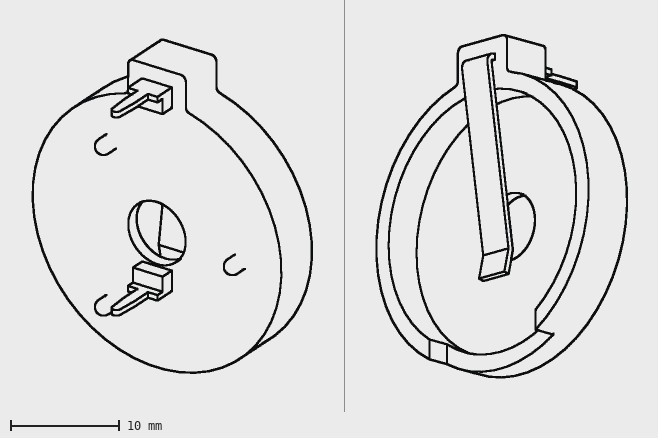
import cadquery as cq
import math


cup_radius = 13.87
cup_depth = 5.0
floor_thickness = 1.38
cell_radius = 12.25
floor_hole_radius = 3.2

notch_width = 13.87
notch_floor_y = 2.7

tab_width = 6.45
tab_top_z = 17.09
tab_corner_radius = 0.6
tab_root_radius = 0.5

peg_count = 3
peg_circle_radius = 9.57
peg_radius = 0.8
peg_length = 2.5
peg_root_radius = 0.5

strip_width = 3.3
strip_thickness = 0.57
shoulder_length = 2.33
pin_width = 1.2
pin_tip_radius = 0.45
pin_length = 7.06
pin_taper_start = 4.52
upper_strip_top_z = 15.5
lower_strip_top_z = -4.95

block_height = 1.55
block_length = 1.5

arm_overhang = 1.0
bend_outer_radius = 0.9
arm_tilt = math.radians(9)
arm_kink_z = -2.8
arm_tip_tilt = math.radians(13)
arm_tip_length = 2.5


def box_between(x_range, y_range, z_range):
    """Axis-aligned box given by its limits along each axis."""
    size = [high - low for low, high in (x_range, y_range, z_range)]
    corner = (x_range[0], y_range[0], z_range[0])
    return cq.Workplane("XY").box(*size, centered=False).translate(corner)


def disc(radius, y_start, y_end):
    """Round disc about the Y axis."""
    return cq.Workplane("XZ", origin=(0, y_start, 0)).circle(radius).extrude(y_start - y_end)


def make_body():
    """Round cup with its tab; the tab has rounded corners and blends into the cup."""
    half_tab = tab_width / 2
    tab = box_between((-half_tab, half_tab), (0, cup_depth), (0, tab_top_z))
    tab = tab.edges("|Y and >Z").fillet(tab_corner_radius)
    body = disc(cup_radius, 0, cup_depth).union(tab)

    tab_root_z = math.sqrt(cup_radius**2 - half_tab**2)
    for side in (-1, 1):
        root = cq.selectors.NearestToPointSelector((side * half_tab, cup_depth / 2, tab_root_z))
        body = body.edges("|Y").edges(root).fillet(tab_root_radius)

    body = body.cut(disc(cell_radius, floor_thickness, cup_depth))
    body = body.cut(disc(floor_hole_radius, 0, floor_thickness))
    notch = box_between(
        (-notch_width / 2, notch_width / 2),
        (notch_floor_y, cup_depth),
        (-cup_radius, -cell_radius / 2),
    )
    return body.cut(notch)


def make_peg():
    """Domed peg along -Y with a flared root, revolved about the Y axis."""
    dome_start = peg_length - peg_radius
    dome_offset = peg_radius * math.sqrt(0.5)
    root_offset = peg_root_radius * (1 - math.sqrt(0.5))
    return (
        cq.Workplane("XY")
        .moveTo(0, 0)
        .lineTo(peg_radius + peg_root_radius, 0)
        .threePointArc((peg_radius + root_offset, -root_offset), (peg_radius, -peg_root_radius))
        .lineTo(peg_radius, -dome_start)
        .threePointArc((dome_offset, -dome_start - dome_offset), (0, -peg_length))
        .close()
        .revolve(360, (0, 0, 0), (0, 1, 0))
    )


def make_strip(top_z, end_y):
    """Flat strip from end_y to a narrow, round-ended pin at -Y."""
    half_strip = strip_width / 2
    half_pin = pin_width / 2
    tip_center_y = pin_tip_radius - pin_length
    taper_length = -pin_taper_start - tip_center_y
    corner_distance = math.hypot(half_pin, taper_length)
    tangent_angle = math.atan2(taper_length, half_pin) - math.acos(pin_tip_radius / corner_distance)
    tip_start_x = pin_tip_radius * math.cos(tangent_angle)
    tip_start_y = tip_center_y + pin_tip_radius * math.sin(tangent_angle)
    return (
        cq.Workplane("XY", origin=(0, 0, top_z))
        .moveTo(-half_strip, end_y)
        .lineTo(-half_strip, -shoulder_length)
        .lineTo(-half_pin, -shoulder_length)
        .lineTo(-half_pin, -pin_taper_start)
        .lineTo(-tip_start_x, tip_start_y)
        .threePointArc((0, -pin_length), (tip_start_x, tip_start_y))
        .lineTo(half_pin, -pin_taper_start)
        .lineTo(half_pin, -shoulder_length)
        .lineTo(half_strip, -shoulder_length)
        .lineTo(half_strip, end_y)
        .close()
        .extrude(-strip_thickness)
    )


def make_block(bottom_z):
    """Block standing out of the floor beside a strip."""
    return box_between(
        (-strip_width / 2, strip_width / 2),
        (-block_length, 0),
        (bottom_z, bottom_z + block_height),
    )


bend_y = cup_depth + arm_overhang - bend_outer_radius
bend_z = upper_strip_top_z - bend_outer_radius
bend_inner_radius = bend_outer_radius - strip_thickness


def bend_point(radius, angle):
    """(Y, Z) of a point on the bend, with the angle measured from +Y towards +Z."""
    return (bend_y + radius * math.cos(angle), bend_z + radius * math.sin(angle))


def make_spring_arm():
    """Bend and sloping arm reaching into the cup, with its tip turned back out at a kink."""
    bend_start = math.pi / 2
    bend_end = -arm_tilt
    bend_middle = (bend_start + bend_end) / 2

    inner_start = bend_point(bend_inner_radius, bend_end)
    kink_y = inner_start[0] - (inner_start[1] - arm_kink_z) * math.tan(arm_tilt)
    mitre_angle = (arm_tip_tilt - arm_tilt) / 2
    mitre_length = strip_thickness / math.cos((arm_tip_tilt + arm_tilt) / 2)
    outer_kink = (
        kink_y + mitre_length * math.cos(mitre_angle),
        arm_kink_z + mitre_length * math.sin(mitre_angle),
    )
    inner_tip = (
        kink_y + arm_tip_length * math.sin(arm_tip_tilt),
        arm_kink_z - arm_tip_length * math.cos(arm_tip_tilt),
    )
    outer_tip = (
        inner_tip[0] + strip_thickness * math.cos(arm_tip_tilt),
        inner_tip[1] + strip_thickness * math.sin(arm_tip_tilt),
    )
    return (
        cq.Workplane("YZ")
        .moveTo(*bend_point(bend_outer_radius, bend_start))
        .threePointArc(
            bend_point(bend_outer_radius, bend_middle),
            bend_point(bend_outer_radius, bend_end),
        )
        .lineTo(*outer_kink)
        .lineTo(*outer_tip)
        .lineTo(*inner_tip)
        .lineTo(kink_y, arm_kink_z)
        .lineTo(*inner_start)
        .threePointArc(
            bend_point(bend_inner_radius, bend_middle),
            bend_point(bend_inner_radius, bend_start),
        )
        .close()
        .extrude(strip_width / 2, both=True)
    )


result = make_body()

for index in range(peg_count):
    angle = 2 * math.pi * index / peg_count
    peg_x = peg_circle_radius * math.cos(angle)
    peg_z = peg_circle_radius * math.sin(angle)
    result = result.union(make_peg().translate((peg_x, 0, peg_z)))

result = result.union(make_strip(upper_strip_top_z, bend_y))
result = result.union(make_block(upper_strip_top_z - strip_thickness - block_height))
result = result.union(make_spring_arm())

result = result.union(make_strip(lower_strip_top_z, floor_thickness))
result = result.union(make_block(lower_strip_top_z))